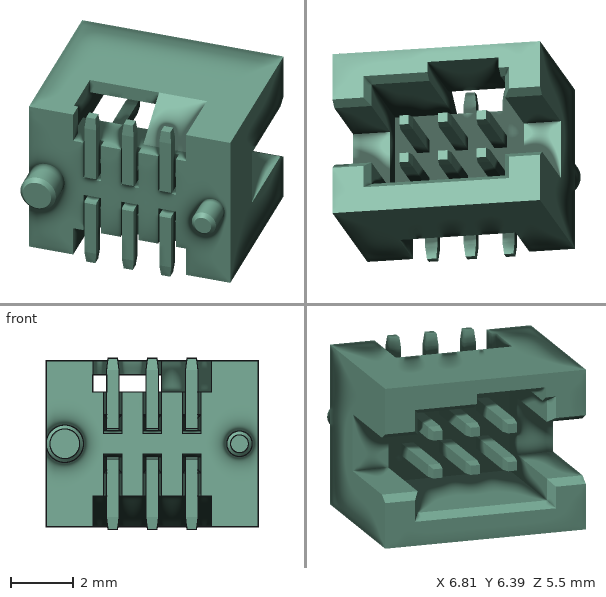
import cadquery as cq


HOUSING_WIDTH = 6.81
HOUSING_DEPTH = 5.4
HOUSING_HEIGHT = 5.34

CAVITY_WIDTH = 4.385
CAVITY_HEIGHT = 3.34
CAVITY_FLOOR_Y = 1.41
SIDE_SLOT_HEIGHT = 1.9
SIDE_SLOT_FLOOR_Y = 2.2
LEAD_IN_DEPTH = 0.32
LEAD_IN_RISE = 0.2

KEYWAY_LEFT_X = -2.05
KEYWAY_RIGHT_X = 0.29
KEYWAY_TOP_Z = 2.205

NOTCH_WIDTH = 3.815
NOTCH_FLAT_DEPTH = 0.505
NOTCH_DEPTH = 2.11

PEG_LENGTH = 0.99
PEG_CHAMFER = 0.12
LARGE_PEG_DIAMETER = 1.2
LARGE_PEG_X = -2.805
SMALL_PEG_DIAMETER = 0.82
SMALL_PEG_X = 2.8

PITCH = 1.27
PIN_SIZE = 0.4
PIN_OUTER_Y = -0.19
MATING_TIP_Y = 4.4
TAIL_TIP_Z = 2.75
TIP_LENGTH = 0.395
TIP_SIZE = 0.305
BEND_CHAMFER_Z = 0.055
BEND_CHAMFER_Y = 0.03

RECESS_WIDTH = 0.6
RECESS_DEPTH = 0.31
RECESS_LIP = 0.11
FUNNEL_DEPTH = 0.21

half_width = HOUSING_WIDTH / 2
half_height = HOUSING_HEIGHT / 2
half_cavity = CAVITY_HEIGHT / 2
row_z = PITCH / 2
leg_bottom_z = row_z - PIN_SIZE / 2
leg_top_z = row_z + PIN_SIZE / 2


def box(x_range, y_range, z_range):
    """Box between the given limits."""
    size = [high - low for low, high in (x_range, y_range, z_range)]
    corner = (x_range[0], y_range[0], z_range[0])
    return cq.Workplane("XY").box(*size, centered=False).translate(corner)


def prism_along_x(outline, center_x, width):
    """Prism with a (Y, Z) outline, centred on center_x."""
    prism = cq.Workplane("YZ").polyline(outline).close().extrude(width / 2, both=True)
    return prism.translate((center_x, 0, 0))


def taper_along_y(center, start_size, end_size, length):
    """Rectangular (X, Z) section that changes size from center toward +Y."""
    start = cq.Workplane("XZ", origin=center).rect(*start_size)
    return start.workplane(offset=-length).rect(*end_size).loft(ruled=True)


def mirrored_pair(shape):
    """The upper shape and its copy in the lower row."""
    return [shape, shape.mirror("XY")]



def cavity():
    """Rectangular cavity with a lead-in on all four sides of its mouth."""
    lead_in_y = HOUSING_DEPTH - LEAD_IN_DEPTH
    straight = box(
        (-CAVITY_WIDTH / 2, CAVITY_WIDTH / 2), (CAVITY_FLOOR_Y, HOUSING_DEPTH), (-half_cavity, half_cavity)
    )
    mouth_size = (CAVITY_WIDTH + 2 * LEAD_IN_RISE, CAVITY_HEIGHT + 2 * LEAD_IN_RISE)
    lead_in = taper_along_y((0, lead_in_y, 0), (CAVITY_WIDTH, CAVITY_HEIGHT), mouth_size, LEAD_IN_DEPTH)
    return straight.union(lead_in)


def side_slot():
    """Slot through both side walls, flared at the mouth."""
    half_slot = SIDE_SLOT_HEIGHT / 2
    half_mouth = half_slot + LEAD_IN_RISE
    lead_in_y = HOUSING_DEPTH - LEAD_IN_DEPTH
    outline = [
        (SIDE_SLOT_FLOOR_Y, -half_slot),
        (lead_in_y, -half_slot),
        (HOUSING_DEPTH, -half_mouth),
        (HOUSING_DEPTH, half_mouth),
        (lead_in_y, half_slot),
        (SIDE_SLOT_FLOOR_Y, half_slot),
    ]
    return prism_along_x(outline, 0, HOUSING_WIDTH)


def keyway():
    """Groove in the cavity roof and the window above its inner end."""
    key_x = (KEYWAY_LEFT_X, KEYWAY_RIGHT_X)
    groove = box(key_x, (CAVITY_FLOOR_Y, HOUSING_DEPTH), (0, KEYWAY_TOP_Z))
    window = box(key_x, (NOTCH_FLAT_DEPTH, NOTCH_DEPTH), (half_cavity, half_height))
    return groove.union(window)


def tail_notch():
    """Notch behind the upper tails, level with the cavity roof and then rising to the top face."""
    outline = [
        (0, half_cavity),
        (NOTCH_FLAT_DEPTH, half_cavity),
        (NOTCH_DEPTH, half_height),
        (0, half_height),
    ]
    return prism_along_x(outline, 0, NOTCH_WIDTH)


def pin_recess(x):
    """Recess behind one upper tail, with a sloped lip and a funnel that narrows to the mating leg."""
    outline = [
        (0, leg_bottom_z - RECESS_LIP),
        (RECESS_DEPTH, leg_bottom_z),
        (RECESS_DEPTH, half_cavity),
        (0, half_cavity),
    ]
    recess = prism_along_x(outline, x, RECESS_WIDTH)
    funnel_top_z = leg_top_z + RECESS_LIP
    funnel = (
        cq.Workplane("XZ", origin=(x, RECESS_DEPTH, leg_bottom_z))
        .rect(RECESS_WIDTH, 2 * (funnel_top_z - leg_bottom_z))
        .workplane(offset=-FUNNEL_DEPTH)
        .rect(PIN_SIZE, 2 * PIN_SIZE)
        .loft(ruled=True)
    )
    above_leg_bottom = box(
        (x - RECESS_WIDTH, x + RECESS_WIDTH), (0, HOUSING_DEPTH), (leg_bottom_z, half_height)
    )
    return recess.union(funnel.intersect(above_leg_bottom))



def peg(x, diameter):
    """Chamfered locating peg on the board face."""
    blank = cq.Workplane("XZ", origin=(x, 0, 0)).circle(diameter / 2).extrude(PEG_LENGTH)
    return blank.faces("<Y").chamfer(PEG_CHAMFER)


def pin(x):
    """Upper-row pin with a bevelled bend and tapered tips."""
    pin_inner_y = PIN_OUTER_Y + PIN_SIZE
    leg_end_y = MATING_TIP_Y - TIP_LENGTH
    tail_end_z = TAIL_TIP_Z - TIP_LENGTH
    outline = [
        (PIN_OUTER_Y + BEND_CHAMFER_Y, leg_bottom_z),
        (leg_end_y, leg_bottom_z),
        (leg_end_y, leg_top_z),
        (pin_inner_y, leg_top_z),
        (pin_inner_y, tail_end_z),
        (PIN_OUTER_Y, tail_end_z),
        (PIN_OUTER_Y, leg_bottom_z + BEND_CHAMFER_Z),
    ]
    bent_bar = prism_along_x(outline, x, PIN_SIZE)
    full_section = (PIN_SIZE, PIN_SIZE)
    tip_section = (TIP_SIZE, TIP_SIZE)
    mating_tip = taper_along_y((x, leg_end_y, row_z), full_section, tip_section, TIP_LENGTH)
    tail_tip = (
        cq.Workplane("XY", origin=(x, PIN_OUTER_Y + PIN_SIZE / 2, tail_end_z))
        .rect(*full_section)
        .workplane(offset=TIP_LENGTH)
        .rect(*tip_section)
        .loft(ruled=True)
    )
    return bent_bar.union(mating_tip).union(tail_tip)


middle_pins = mirrored_pair(pin(0))
outer_pins = []
for pin_x in (-PITCH, PITCH):
    outer_pins += mirrored_pair(pin(pin_x))

housing = box((-half_width, half_width), (0, HOUSING_DEPTH), (-half_height, half_height))
housing = housing.cut(cavity()).cut(side_slot()).cut(keyway())
for notch in mirrored_pair(tail_notch()):
    housing = housing.cut(notch)
for recess_x in (-PITCH, 0, PITCH):
    for recess in mirrored_pair(pin_recess(recess_x)):
        housing = housing.cut(recess)
housing = housing.union(peg(LARGE_PEG_X, LARGE_PEG_DIAMETER))
housing = housing.union(peg(SMALL_PEG_X, SMALL_PEG_DIAMETER))
for middle_pin in middle_pins:
    housing = housing.union(middle_pin)
for outer_pin in outer_pins:
    housing = housing.cut(outer_pin)

pin_solids = [outer_pin.solids().val() for outer_pin in outer_pins]
result = cq.Compound.makeCompound([housing.solids().val(), *pin_solids])